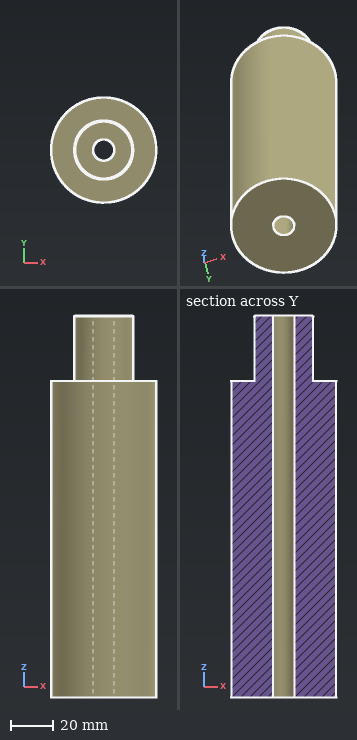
import cadquery as cq

total_length = 181.0
body_diameter = 50.0
body_length = 150.0
spigot_diameter = 28.0
spigot_length = total_length - body_length
bore_diameter = 10.0
spigot_chamfer = 0.5

body = cq.Workplane("XY").circle(body_diameter / 2).extrude(body_length)

spigot = (
    cq.Workplane("XY")
    .workplane(offset=body_length)
    .circle(spigot_diameter / 2)
    .extrude(spigot_length)
    .faces(">Z")
    .edges()
    .chamfer(spigot_chamfer)
)

bore = cq.Workplane("XY").circle(bore_diameter / 2).extrude(total_length)

result = body.union(spigot).cut(bore)